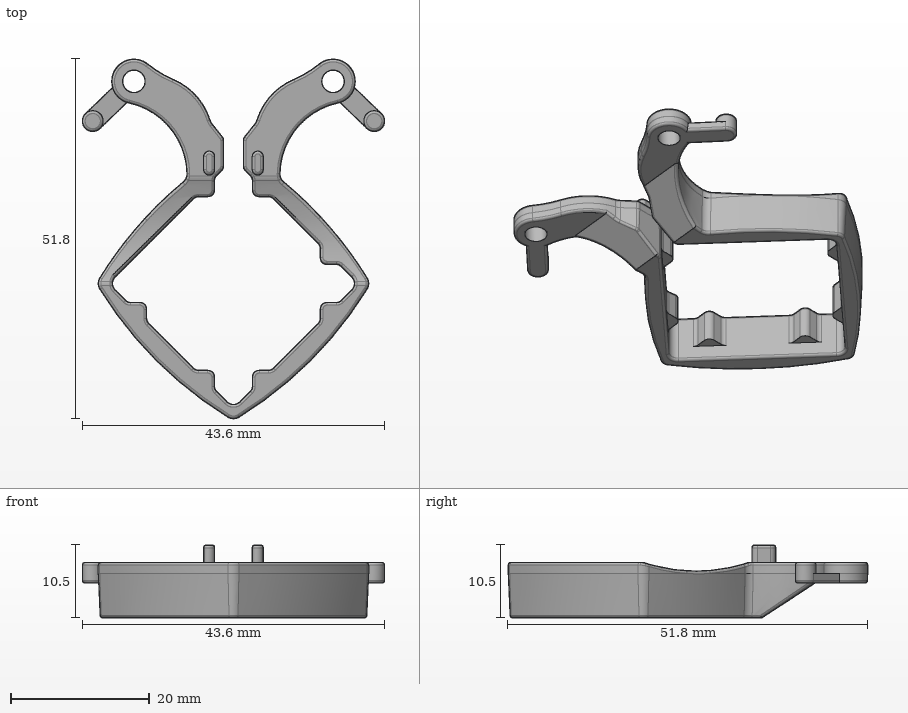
import cadquery as cq
import math

top_z = 8.0
draft_top_z = 6.4
arm_underside_z = 5.0
rib_top_z = 10.5
draft_angle = 2.5

ring_corner = 19.75
ring_bow = 1.75
ring_corner_radius = 1.5
pocket_side = 25.4
pocket_half_diagonal = pocket_side / math.sqrt(2)
pocket_corner_radius = 1.3

pad_near = 2.72
pad_far = 12.5
pad_size = 4.5
pad_bottom_z = 2.5
pad_radius = 1.0
pad_root_radius = 1.0

dip_start_y = 0.0
dip_end_y = 15.15
dip_depth = 1.25
dip_blend_radius = 1.9

eye_x = 14.35
eye_y = 29.13
eye_radius = 3.2
eye_hole_radius = 1.6
hollow_radius = 10.6
hollow_y = 15.65
arm_root_y = 14.6
gap_half_width = 1.43
gap_bottom_y = 12.0
heel_high_y = 20.9
heel_corner_radius = 0.8
shoulder_x = 12.39
shoulder_y = 20.72
shoulder_radius = 9.45
shoulder_end_angle = 164.5
shoulder_blend_radius = 2.0
neck_radius = 14.9
slope_start_y = 24.7
slope_end_y = 17.05

junction_x = 6.8
junction_y = 15.0
junction_radius = 1.5

post_x = 20.285
post_y = 23.4
post_radius = 1.5

rib_x = 3.5
rib_y = 17.35
rib_width = 1.6
rib_length = 3.45
rib_sink = 0.5

edge_round = 0.4
far_reach = 60.0
tolerance = 0.01
edge_search_radius = 0.4
upright_limit = 0.9
level_limit = 0.5


def drafted(outline):
    """Extrude a wire lying on the draft level: straight up and, with draft, down."""
    upper = cq.Solid.extrudeLinear(outline, [], cq.Vector(0, 0, top_z - draft_top_z))
    lower = cq.Solid.extrudeLinear(outline, [], cq.Vector(0, 0, -draft_top_z), draft_angle)
    return cq.Workplane(upper).union(cq.Workplane(lower))


def ring_disc():
    corners = [(ring_corner, 0), (0, ring_corner), (-ring_corner, 0), (0, -ring_corner)]
    reach = ring_corner / math.sqrt(2) + ring_bow
    outline = cq.Workplane("XY", origin=(0, 0, draft_top_z)).moveTo(*corners[-1])
    for i, corner in enumerate(corners):
        angle = math.radians(90 * i - 45)
        outline = outline.threePointArc((reach * math.cos(angle), reach * math.sin(angle)), corner)
    wire = outline.close().val()
    return drafted(wire.fillet2D(ring_corner_radius, wire.Vertices()))


def pocket():
    return (
        cq.Workplane("XY").rect(pocket_side, pocket_side).extrude(top_z)
        .edges("|Z").fillet(pocket_corner_radius)
        .rotate((0, 0, 0), (0, 0, 1), 45)
    )


def on_diagonal(edge, reach):
    """True for an upright edge whose plan coordinates add up to the given reach."""
    center = edge.Center()
    return abs(abs(center.x) + abs(center.y) - reach) < tolerance


def round_upright_edges(solid, reach, radius):
    chosen = [e for e in solid.edges("|Z").vals() if on_diagonal(e, reach)]
    return solid.newObject(chosen).fillet(radius)


def pads():
    """Seven pads on the pocket walls; the place on the -X corner's upper side stays free."""
    near = pad_near + pad_size / 2
    far = pad_far + pad_size / 2
    places = []
    for side_x in (1, -1):
        for side_y in (1, -1):
            places.append((side_x * near, side_y * far))
            places.append((side_x * far, side_y * near))
    places.remove((-far, near))
    layer = cq.Workplane("XY", origin=(0, 0, pad_bottom_z)).rect(far_reach, far_reach).extrude(top_z)
    blocks = cq.Workplane("XY").pushPoints(places).rect(pad_size, pad_size).extrude(top_z)
    space = pocket().intersect(layer).cut(blocks)
    space = round_upright_edges(space, pocket_half_diagonal, pad_root_radius)
    space = round_upright_edges(space, pad_near + pad_far, pad_radius)
    return pocket().intersect(layer).cut(space)


def on_circle(center, radius, angle):
    return (center[0] + radius * math.cos(angle), center[1] + radius * math.sin(angle))


def direction(start, end):
    return math.atan2(end[1] - start[1], end[0] - start[0])


def arm_outline():
    """Arm on the +X side, drawn on the draft level."""
    eye = (eye_x, eye_y)
    shoulder = (shoulder_x, shoulder_y)

    hollow_rise = eye_y - hollow_y
    hollow = (eye_x + math.sqrt((hollow_radius + eye_radius) ** 2 - hollow_rise ** 2), hollow_y)
    root_angle = math.pi + math.asin((hollow_y - arm_root_y) / hollow_radius)
    hollow_end_angle = direction(hollow, eye)
    hollow_mid_angle = (root_angle + hollow_end_angle) / 2

    spacing = math.dist(eye, shoulder)
    to_eye = neck_radius + eye_radius
    to_shoulder = neck_radius + shoulder_radius
    opening = math.acos((to_eye ** 2 + spacing ** 2 - to_shoulder ** 2) / (2 * to_eye * spacing))
    neck = on_circle(eye, to_eye, direction(eye, shoulder) - opening)
    eye_end_angle = direction(eye, neck)
    shoulder_start_angle = direction(shoulder, neck)
    neck_mid_angle = (direction(neck, eye) + direction(neck, shoulder)) / 2

    shoulder_end = on_circle(shoulder, shoulder_radius, math.radians(shoulder_end_angle))
    shoulder_mid_angle = (shoulder_start_angle + math.radians(shoulder_end_angle)) / 2
    heel = (gap_half_width, heel_high_y)
    outline = (
        cq.Workplane("XY", origin=(0, 0, draft_top_z))
        .moveTo(*on_circle(hollow, hollow_radius, root_angle))
        .threePointArc(
            on_circle(hollow, hollow_radius, hollow_mid_angle),
            on_circle(hollow, hollow_radius, hollow_end_angle),
        )
        .threePointArc(on_circle(eye, eye_radius, 0), on_circle(eye, eye_radius, eye_end_angle))
        .threePointArc(
            on_circle(neck, neck_radius, neck_mid_angle),
            on_circle(shoulder, shoulder_radius, shoulder_start_angle),
        )
        .threePointArc(on_circle(shoulder, shoulder_radius, shoulder_mid_angle), shoulder_end)
        .lineTo(*heel)
        .lineTo(gap_half_width, arm_root_y)
        .close()
        .val()
    )
    outline = round_corner(outline, heel, heel_corner_radius)
    return round_corner(outline, shoulder_end, shoulder_blend_radius)


def round_corner(outline, corner, radius):
    chosen = [v for v in outline.Vertices() if math.dist((v.X, v.Y), corner) < tolerance]
    return outline.fillet2D(radius, chosen)


def underside_cutter():
    """Space under the thin end of the arms, bounded by the sloped underside."""
    profile = [
        (slope_end_y, 0),
        (slope_start_y, arm_underside_z),
        (far_reach, arm_underside_z),
        (far_reach, 0),
    ]
    return cq.Workplane("YZ").polyline(profile).close().extrude(far_reach, both=True)


def dip_cutter():
    half_span = (dip_end_y - dip_start_y) / 2
    radius = (half_span ** 2 + dip_depth ** 2) / (2 * dip_depth)
    return (
        cq.Workplane("YZ")
        .center((dip_start_y + dip_end_y) / 2, top_z - dip_depth + radius)
        .circle(radius)
        .extrude(far_reach, both=True)
    )


def finger():
    """Side finger on the +X arm with its round post."""
    eye = (eye_x, eye_y)
    post_place = (post_x, post_y)
    bar = (
        cq.Workplane("XY")
        .rect(math.dist(eye, post_place), 2 * post_radius)
        .extrude(draft_top_z - arm_underside_z)
        .rotate((0, 0, 0), (0, 0, 1), math.degrees(direction(eye, post_place)))
        .translate(((eye_x + post_x) / 2, (eye_y + post_y) / 2, arm_underside_z))
    )
    post = (
        cq.Workplane("XY", origin=(post_x, post_y, arm_underside_z))
        .circle(post_radius)
        .extrude(top_z - arm_underside_z)
        .faces(">Z").edges().fillet(edge_round)
    )
    return bar.union(post).faces("<Z").edges().fillet(edge_round)


def rib():
    return (
        cq.Workplane("XY", origin=(rib_x, rib_y, top_z - rib_sink))
        .slot2D(rib_length, rib_width, 90)
        .extrude(rib_top_z - top_z + rib_sink)
        .faces(">Z").edges().fillet(edge_round)
    )


def upright_edges_near(solid, x, y):
    """Nearly upright edges that pass close to (x, y) or to its mirror point."""
    chosen = []
    for edge in solid.edges().vals():
        center = edge.Center()
        upright = abs(edge.tangentAt(0.5).z) > upright_limit
        if upright and math.dist((abs(center.x), center.y), (x, y)) < edge_search_radius:
            chosen.append(edge)
    return solid.newObject(chosen)


def rim_edges(solid, facing):
    """Border of the faces that look up (facing = 1) or down (facing = -1), pad undersides excepted."""
    borders = []
    for face in solid.faces().vals():
        center = face.Center()
        faces_away = facing * face.normalAt(center).z < level_limit
        is_pad_underside = abs(center.z - pad_bottom_z) < tolerance
        if faces_away or is_pad_underside:
            continue
        for edge in face.Edges():
            shared = [e for e in borders if e.isSame(edge)]
            if shared:
                borders.remove(shared[0])
            else:
                borders.append(edge)
    return solid.newObject(borders)


def dip_creases(solid):
    chosen = []
    for edge in solid.edges("|X").vals():
        center = edge.Center()
        on_crease = min(abs(center.y - dip_start_y), abs(center.y - dip_end_y)) < tolerance
        if on_crease and abs(center.z - top_z) < tolerance:
            chosen.append(edge)
    return solid.newObject(chosen)


def frame():
    """Ring and both arms, with rounded rims."""
    gap = (
        cq.Workplane("XY").center(0, (gap_bottom_y + ring_corner) / 2)
        .rect(2 * pad_near, ring_corner - gap_bottom_y)
        .extrude(top_z)
    )
    arm = drafted(arm_outline())
    solid = ring_disc().cut(gap).union(arm).union(arm.mirror("YZ")).cut(pocket())
    heel_low_y = pocket_half_diagonal - gap_half_width
    solid = upright_edges_near(solid, gap_half_width, heel_low_y).fillet(heel_corner_radius)
    solid = upright_edges_near(solid, junction_x, junction_y).fillet(junction_radius)
    solid = solid.union(pads()).cut(underside_cutter()).cut(dip_cutter())
    solid = dip_creases(solid).fillet(dip_blend_radius)
    solid = rim_edges(solid, 1).fillet(edge_round)
    return rim_edges(solid, -1).fillet(edge_round)


def eye_holes():
    centers = [(eye_x, eye_y), (-eye_x, eye_y)]
    return cq.Workplane("XY").pushPoints(centers).circle(eye_hole_radius).extrude(top_z)


def both_sides(solid):
    return solid.union(solid.mirror("YZ"))


result = frame().union(both_sides(finger())).union(both_sides(rib())).cut(eye_holes())